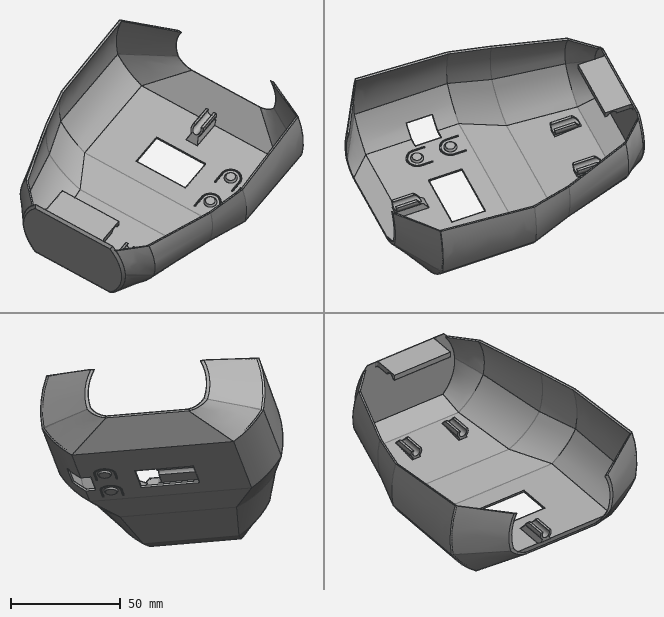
import cadquery as cq


LENGTH = 124.2
WALL = 1.0
MITRE = 0.4
RIM_DROP = 0.4
HEADROOM = 12.4

PLATE_DEPTH = 1.2
PLATE_TOP = 43.1
PLATE_BOTTOM = 8.0
PLATE_EDGE_HALF = 21.1
PLATE_HALF = 28.2
PLATE_MID = (PLATE_TOP + PLATE_BOTTOM) / 2
PLATE_TAPER = 45.0

TAB_HALF = 15.5
TAB_END = 14.5
TAB_THICKNESS = 2.7
TAB_ROOT_RADIUS = 1.2
TAB_GROOVE_Y = 11.0
TAB_GROOVE_Z = 40.0
TAB_GROOVE_RADIUS = 2.2

STRAIGHT_WALL = dict(side_wall=WALL, knee_rise=0.0)
FULL_BODY = dict(floor=(37.4, 0.0), knee=(51.2, 15.0), lower_bulge=1.1, **STRAIGHT_WALL)
SECTIONS = [
    dict(y=PLATE_DEPTH, floor=(PLATE_EDGE_HALF, PLATE_BOTTOM), knee=(PLATE_HALF, 26.7), rim=(23.1, 41.0),
         lower_bulge=2.0, upper_bulge=1.1, **STRAIGHT_WALL),
    dict(y=12.2, floor=(22.1, 3.9), knee=(36.4, 20.5), rim=(33.8, 40.6),
         lower_bulge=1.5, upper_bulge=1.7, **STRAIGHT_WALL),
    dict(y=45.2, floor=(27.0, 1.0), knee=(44.5, 16.1), rim=(45.2, 38.0),
         lower_bulge=1.6, upper_bulge=1.4, **STRAIGHT_WALL),
    dict(y=64.3, rim=(49.8, 38.0), upper_bulge=1.4, **FULL_BODY),
    dict(y=110.4, rim=(49.0, 41.9), upper_bulge=1.6, **FULL_BODY),
    dict(y=LENGTH, floor=(19.1, 10.3), knee=(27.8, 15.5), rim=(26.1, 35.9),
         lower_bulge=1.0, upper_bulge=1.9, side_wall=1.6, knee_rise=0.7),
]

MAIN_WINDOW_CENTRE = (-1.5, 81.8)
MAIN_WINDOW_SIZE = (27.0, 16.5)

SIDE_WINDOW_INNER_X = 32.8
SIDE_WINDOW_OUTER_X = 42.7
SIDE_WINDOW_OUTER_Z = 6.1
SIDE_WINDOW_FLARE = 6.8
SIDE_WINDOW_BACK = 87.7
SIDE_WINDOW_LENGTH = 12.9

BUTTON_X = 26.0
BUTTON_YS = (73.3, 89.8)
SLOT_OUTER_RADIUS = 5.0
SLOT_WIDTH = 0.6
SLOT_LEG = 5.8
BUTTON_TOP_HEIGHT = 1.0
BUTTON_TOP_RADII = (3.0, 2.2)
BUTTON_TIP_HEIGHT = 0.9
BUTTON_TIP_RADII = (3.2, 2.7)

CLIP_RADIUS = 3.0
CLIP_FOOT_HALF = 3.1
CLIP_WAIST_HALF = 1.7
CLIP_WAIST_DROP = 1.9
CLIP_GROOVE_RADIUS = 2.0
CLIP_OPENING_HEIGHT = 1.4
CLIP_TOP_LENGTH = 10.3
CLIP_FOOT_LENGTH = 15.9
CLIP_FOOT_DROP = 5.2
BACK_CLIP_END = 112.3
BACK_CLIP_AXIS_Z = 6.2
FRONT_CLIP_X = 12.9
FRONT_CLIP_END = 28.2
FRONT_CLIP_AXIS_Z = 6.8


def xz_plane(y):
    """Workplane across the part at the given Y, with local axes X and Z."""
    return cq.Workplane(cq.Plane(origin=(0, y, 0), xDir=(1, 0, 0), normal=(0, -1, 0)))


def arc_middle(start, end, bulge):
    """Middle point of an arc that bulges to the right of the way from start to end."""
    dx = end[0] - start[0]
    dz = end[1] - start[1]
    chord = (dx * dx + dz * dz) ** 0.5
    return ((start[0] + end[0]) / 2 + bulge * dz / chord, (start[1] + end[1]) / 2 - bulge * dx / chord)


def mirrored(point):
    return (-point[0], point[1])


def half_outline(floor, knee, rim, section):
    """Points of the right half: floor edge, lower arc, knee, upper arc and rim."""
    lower = arc_middle(floor, knee, section["lower_bulge"])
    upper = arc_middle(knee, rim, section["upper_bulge"])
    return floor, lower, knee, upper, rim


def closed_section(y, half, above_rim):
    """Symmetric section from half-outline points; above_rim lists the corners beyond the rim."""
    floor, lower, knee, upper, rim = half
    outline = xz_plane(y).moveTo(*mirrored(floor)).lineTo(*floor)
    outline = outline.threePointArc(lower, knee).threePointArc(upper, rim)
    for point in above_rim:
        outline = outline.lineTo(*point)
    for point in reversed(above_rim):
        outline = outline.lineTo(*mirrored(point))
    outline = outline.lineTo(*mirrored(rim))
    outline = outline.threePointArc(mirrored(upper), mirrored(knee))
    outline = outline.threePointArc(mirrored(lower), mirrored(floor))
    return outline.close().val()


def outer_section(section):
    half = half_outline(section["floor"], section["knee"], section["rim"], section)
    return closed_section(section["y"], half, [])


def cavity_section(section):
    """Section of the inner skin, opened upwards past the sloping face of the rim."""
    wall = section["side_wall"]
    floor_x, floor_z = section["floor"]
    knee_x, knee_z = section["knee"]
    rim_x, rim_z = section["rim"]
    floor = (floor_x - MITRE, floor_z + WALL)
    knee = (knee_x - wall, knee_z + section["knee_rise"])
    rim = (rim_x - wall, rim_z - RIM_DROP)
    beyond_rim = (rim_x + wall, rim_z + RIM_DROP)
    top = (beyond_rim[0], beyond_rim[1] + HEADROOM)
    return closed_section(section["y"], half_outline(floor, knee, rim, section), [beyond_rim, top])


def loft(make_section):
    return cq.Workplane(cq.Solid.makeLoft([make_section(section) for section in SECTIONS], True))


def front_plate():
    return (
        xz_plane(PLATE_DEPTH)
        .moveTo(-PLATE_EDGE_HALF, PLATE_BOTTOM)
        .lineTo(PLATE_EDGE_HALF, PLATE_BOTTOM)
        .threePointArc((PLATE_HALF, PLATE_MID), (PLATE_EDGE_HALF, PLATE_TOP))
        .lineTo(-PLATE_EDGE_HALF, PLATE_TOP)
        .threePointArc((-PLATE_HALF, PLATE_MID), (-PLATE_EDGE_HALF, PLATE_BOTTOM))
        .close()
        .extrude(PLATE_DEPTH, taper=PLATE_TAPER)
    )


def tab():
    """Tab with rounded root corners and a round groove across its underside."""
    root_half = TAB_HALF + TAB_ROOT_RADIUS
    root_end = PLATE_DEPTH + TAB_ROOT_RADIUS
    body = (
        cq.Workplane("XY", origin=(0, 0, PLATE_TOP - TAB_THICKNESS))
        .moveTo(-root_half, PLATE_DEPTH)
        .lineTo(root_half, PLATE_DEPTH)
        .radiusArc((TAB_HALF, root_end), TAB_ROOT_RADIUS)
        .lineTo(TAB_HALF, TAB_END)
        .lineTo(-TAB_HALF, TAB_END)
        .lineTo(-TAB_HALF, root_end)
        .radiusArc((-root_half, PLATE_DEPTH), TAB_ROOT_RADIUS)
        .close()
        .extrude(TAB_THICKNESS)
    )
    groove = (
        cq.Workplane("YZ")
        .center(TAB_GROOVE_Y, TAB_GROOVE_Z)
        .circle(TAB_GROOVE_RADIUS)
        .extrude(root_half, both=True)
    )
    return body.cut(groove)


def main_window():
    return cq.Workplane("XY").center(*MAIN_WINDOW_CENTRE).rect(*MAIN_WINDOW_SIZE).extrude(WALL)


def side_window():
    return (
        xz_plane(SIDE_WINDOW_BACK)
        .moveTo(SIDE_WINDOW_INNER_X, 0)
        .lineTo(SIDE_WINDOW_INNER_X, SIDE_WINDOW_OUTER_Z)
        .lineTo(SIDE_WINDOW_OUTER_X, SIDE_WINDOW_OUTER_Z)
        .lineTo(SIDE_WINDOW_OUTER_X + SIDE_WINDOW_FLARE, 0)
        .close()
        .extrude(SIDE_WINDOW_LENGTH)
    )


def button_slot(y):
    """U-shaped slot around the button, open towards the front."""
    inner_radius = SLOT_OUTER_RADIUS - SLOT_WIDTH

    def tongue(radius):
        disc = cq.Workplane("XY").center(BUTTON_X, y).circle(radius).extrude(WALL)
        legs = cq.Workplane("XY").center(BUTTON_X, y - SLOT_LEG / 2).rect(2 * radius, SLOT_LEG).extrude(WALL)
        front = cq.Workplane("XY").center(BUTTON_X, y - SLOT_LEG - radius / 2).rect(2 * radius, radius)
        return disc.union(legs).cut(front.extrude(WALL))

    return tongue(SLOT_OUTER_RADIUS).cut(tongue(inner_radius))


def button(y):
    """Tapered boss on the floor and a tapered tip below it."""
    up = cq.Vector(0, 0, 1)
    boss = cq.Solid.makeCone(*BUTTON_TOP_RADII, BUTTON_TOP_HEIGHT, cq.Vector(BUTTON_X, y, WALL), up)
    tip = cq.Solid.makeCone(*BUTTON_TIP_RADII, BUTTON_TIP_HEIGHT, cq.Vector(BUTTON_X, y, 0), -up)
    return cq.Workplane(boss).add(tip).combine()


def clip(x, end_y, axis_z):
    """Clip that ends flat at end_y; its narrowing foot reaches down to Z = 0."""
    ring = xz_plane(end_y).center(x, axis_z).circle(CLIP_RADIUS).extrude(CLIP_FOOT_LENGTH)
    foot = (
        xz_plane(end_y)
        .moveTo(x - CLIP_FOOT_HALF, 0)
        .lineTo(x + CLIP_FOOT_HALF, 0)
        .lineTo(x + CLIP_FOOT_HALF, WALL)
        .lineTo(x + CLIP_WAIST_HALF, axis_z - CLIP_WAIST_DROP)
        .lineTo(x - CLIP_WAIST_HALF, axis_z - CLIP_WAIST_DROP)
        .lineTo(x - CLIP_FOOT_HALF, WALL)
        .close()
        .extrude(CLIP_FOOT_LENGTH)
    )
    groove = xz_plane(end_y).center(x, axis_z).circle(CLIP_GROOVE_RADIUS).extrude(CLIP_FOOT_LENGTH)
    side_profile = (
        cq.Workplane("YZ", origin=(x, 0, 0))
        .moveTo(end_y, 0)
        .lineTo(end_y, axis_z + CLIP_OPENING_HEIGHT)
        .lineTo(end_y - CLIP_TOP_LENGTH, axis_z + CLIP_OPENING_HEIGHT)
        .lineTo(end_y - CLIP_FOOT_LENGTH, axis_z - CLIP_FOOT_DROP)
        .lineTo(end_y - CLIP_FOOT_LENGTH, 0)
        .close()
        .extrude(CLIP_FOOT_HALF, both=True)
    )
    return ring.union(foot).cut(groove).intersect(side_profile)


outer_skin = loft(outer_section)
shell = outer_skin.cut(loft(cavity_section))

clips = clip(0, BACK_CLIP_END, BACK_CLIP_AXIS_Z)
for side in (-1, 1):
    clips = clips.union(clip(side * FRONT_CLIP_X, FRONT_CLIP_END, FRONT_CLIP_AXIS_Z))
shell = shell.union(clips.intersect(outer_skin))

shell = shell.cut(main_window()).cut(side_window())
for button_y in BUTTON_YS:
    shell = shell.cut(button_slot(button_y)).union(button(button_y))

result = shell.union(front_plate()).union(tab())